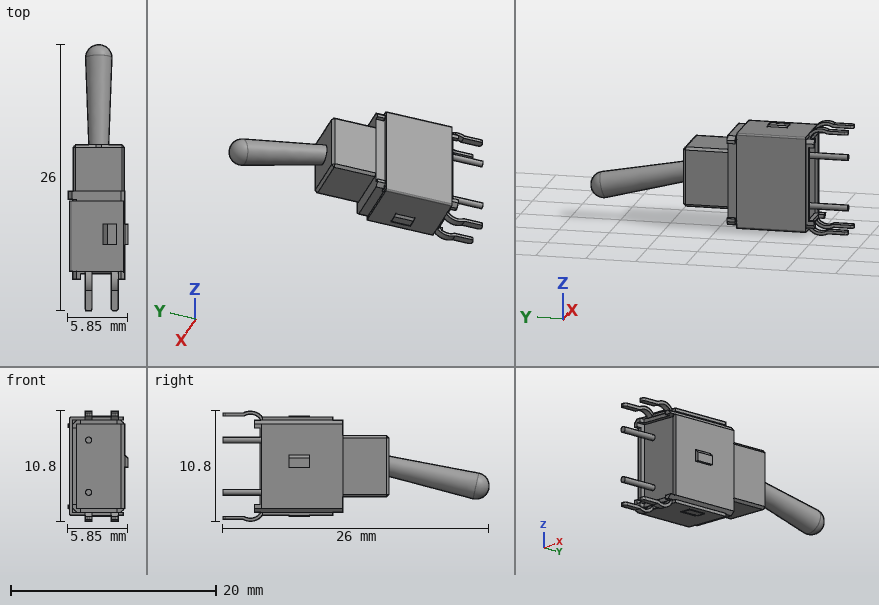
import cadquery as cq
import math


housing_width = 5.1
housing_height = 8.99
housing_front = 8.08
housing_chamfer = 0.4
wall = 0.4
recess_depth = 0.47
side_rim_setback = 0.13
foot_size = 0.78
foot_length = 0.55

bushing_width = 5.0
bushing_height = 6.0
bushing_front = 12.6
bushing_chamfer = 0.25
notch_width = 0.55

hook_reach = 0.45
hook_height = 0.7
hook_length = 0.8

catch_ramp_height = 0.4
catch_ramp_run = 0.42
catch_flat = 0.88
catch_length = 2.0
catch_center_y = 3.85
catch_start_x = 0.42
side_catch_height = 0.3
side_catch_run = 0.3
side_catch_top_z = 1.1

sheet = 0.3
bracket_rear = 0.23
bracket_front = 7.12
bracket_end_gap = 0.15
bracket_fold_radius = 0.15
leg_width = 0.7
leg_tip_radius = 0.25
leg_tip_y = -3.6
leg_crest_y = -0.93
leg_crest_z = 5.38
leg_bend_radius = 1.48
leg_drop = 0.18
leg_web = 0.08

pin_diameter = 0.6
pin_pitch = 5.1
leg_pitch = pin_pitch / 2
pin_x = -0.99
pin_socket_depth = 0.78

lever_tilt = 12.8
lever_tip_radius = 1.3
lever_neck_radius = 0.99
lever_tip_y = 22.35
lever_root_depth = 1.3

half_width = housing_width / 2
half_height = housing_height / 2
recess_width = housing_width - 2 * wall
recess_height = housing_height - 2 * wall
pin_front = recess_depth + pin_socket_depth
catch_y_range = (catch_center_y - catch_length / 2, catch_center_y + catch_length / 2)
leg_positions = [pin_x, pin_x + leg_pitch]
pin_heights = [-pin_pitch / 2, pin_pitch / 2]


def block(x_range, y_range, z_range):
    """Box between the given limits along each axis."""
    size = [high - low for low, high in (x_range, y_range, z_range)]
    return cq.Workplane("XY").box(*size, centered=False).translate(
        (x_range[0], y_range[0], z_range[0])
    )


def prism_along_y(points, y_start, y_end):
    """Polygon of (x, z) points extruded from y_start to y_end."""
    outline = cq.Workplane("XZ", origin=(0, y_start, 0)).polyline(points).close()
    return outline.extrude(y_start - y_end)


def mirrored_in_z(body):
    return body.union(body.mirror("XY"))


def catch_on_top():
    """Snap catch on the +Z side, ramped toward -X."""
    ramp_end = catch_start_x + catch_ramp_run
    top = half_height + catch_ramp_height
    points = [
        (catch_start_x, half_height),
        (ramp_end, top),
        (ramp_end + catch_flat, top),
        (ramp_end + catch_flat, half_height),
    ]
    return prism_along_y(points, *catch_y_range)


def catch_on_side():
    """Snap catch on the +X side, ramped toward +Z."""
    ramp_end = side_catch_top_z - side_catch_run
    outer = half_width + side_catch_height
    points = [
        (half_width, side_catch_top_z),
        (outer, ramp_end),
        (outer, ramp_end - catch_flat),
        (half_width, ramp_end - catch_flat),
    ]
    return prism_along_y(points, *catch_y_range)


def front_hook():
    """Chamfered hook at the upper front corner of the -X side."""
    outer = -half_width - hook_reach
    inner = -half_width + housing_chamfer
    points = [
        (inner, half_height),
        (outer + housing_chamfer, half_height),
        (outer, half_height - housing_chamfer),
        (outer, half_height - hook_height),
        (inner, half_height - hook_height),
    ]
    return prism_along_y(points, housing_front - hook_length, housing_front)


def bushing_body():
    body = block(
        (-bushing_width / 2, bushing_width / 2),
        (housing_front, bushing_front),
        (-bushing_height / 2, bushing_height / 2),
    )
    body = body.edges("|Y or >Y").chamfer(bushing_chamfer)
    notch = block(
        (-notch_width / 2, notch_width / 2),
        (bushing_front - bushing_chamfer, bushing_front),
        (bushing_height / 2 - bushing_chamfer, bushing_height / 2),
    )
    return body.cut(notch)


def lever_body():
    """Tapered lever with a ball tip, tilted about the centre of the bushing face."""
    tilt = math.radians(lever_tilt)
    ball_center = (lever_tip_y - lever_tip_radius - bushing_front) / math.cos(tilt)
    taper = (lever_tip_radius - lever_neck_radius) / ball_center
    root = -lever_root_depth
    root_radius = lever_neck_radius + taper * root
    profile = (
        cq.Workplane("XY")
        .moveTo(0, root)
        .lineTo(root_radius, root)
        .lineTo(lever_tip_radius, ball_center)
        .radiusArc((0, ball_center + lever_tip_radius), -lever_tip_radius)
        .close()
    )
    lever = profile.revolve(360, (0, 0, 0), (0, 1, 0))
    return lever.rotate((0, 0, 0), (1, 0, 0), -lever_tilt).translate((0, bushing_front, 0))


def make_housing():
    body = block(
        (-half_width, half_width), (-foot_length, housing_front), (-half_height, half_height)
    )
    body = body.edges("|Y").chamfer(housing_chamfer)
    foot_gap_x = half_width - foot_size
    foot_gap_z = half_height - foot_size
    body = body.cut(
        block((-foot_gap_x, foot_gap_x), (-foot_length, 0), (-half_height, half_height))
    )
    body = body.cut(block((-half_width, half_width), (-foot_length, 0), (-foot_gap_z, foot_gap_z)))
    body = body.cut(
        block(
            (-recess_width / 2, recess_width / 2),
            (-foot_length, recess_depth),
            (-recess_height / 2, recess_height / 2),
        )
    )
    body = body.cut(
        block(
            (recess_width / 2, half_width),
            (-foot_length, side_rim_setback),
            (-recess_height / 2, recess_height / 2),
        )
    )
    body = body.union(bushing_body()).union(lever_body())
    body = body.union(mirrored_in_z(front_hook()))
    body = body.union(mirrored_in_z(catch_on_top()))
    body = body.union(catch_on_side())
    for height in pin_heights:
        body = body.cut(make_pin(height))
    return body


def leg_strip():
    """Upper strip of sheet bent out of the bracket, as wide as the two legs and the gap between them."""
    center_z = leg_crest_z - leg_bend_radius
    inner_radius = leg_bend_radius - sheet
    outer_z = half_height + sheet
    straight_top = leg_crest_z - leg_drop
    straight_bottom = straight_top - sheet

    def bend_offset(radius, z):
        return math.sqrt(radius**2 - (z - center_z) ** 2)

    outer_start_y = leg_crest_y + bend_offset(leg_bend_radius, outer_z)
    outer_end_y = leg_crest_y - bend_offset(leg_bend_radius, straight_top)
    inner_start_y = leg_crest_y + bend_offset(inner_radius, half_height)
    inner_end_y = leg_crest_y - bend_offset(inner_radius, straight_bottom)
    root_y = bracket_rear + sheet

    left = leg_positions[0] - leg_width / 2
    right = leg_positions[-1] + leg_width / 2
    return (
        cq.Workplane("YZ", origin=(left, 0, 0))
        .moveTo(root_y, outer_z)
        .lineTo(outer_start_y, outer_z)
        .threePointArc((leg_crest_y, leg_crest_z), (outer_end_y, straight_top))
        .lineTo(leg_tip_y, straight_top)
        .lineTo(leg_tip_y, straight_bottom)
        .lineTo(inner_end_y, straight_bottom)
        .threePointArc((leg_crest_y, leg_crest_z - sheet), (inner_start_y, half_height))
        .lineTo(root_y, half_height)
        .close()
        .extrude(right - left)
    )


def leg_pair():
    """Two legs with rounded tips, joined by a narrow web at the bracket."""
    gap = block(
        (leg_positions[0] + leg_width / 2, leg_positions[1] - leg_width / 2),
        (leg_tip_y, bracket_rear - leg_web),
        (0, leg_crest_z),
    )
    return leg_strip().cut(gap).faces("<Y").edges("|Z").fillet(leg_tip_radius)


def make_bracket():
    outer_x = half_width + sheet
    outer_z = half_height + sheet
    y_range = (bracket_rear, bracket_front)
    body = block((-outer_x, half_width - bracket_end_gap), y_range, (-outer_z, outer_z))
    body = body.edges("|Y and <X").fillet(bracket_fold_radius)
    body = body.cut(block((-half_width, half_width), y_range, (-half_height, half_height)))
    window_end = catch_start_x + catch_ramp_run + catch_flat
    windows = block(
        (catch_start_x, window_end),
        catch_y_range,
        (-outer_z, outer_z),
    )
    return body.cut(windows).union(mirrored_in_z(leg_pair()))


def make_pin(height):
    """Round pin seated in the recess floor, ending level with the leg tips."""
    return (
        cq.Workplane("XZ", origin=(pin_x, pin_front, height))
        .circle(pin_diameter / 2)
        .extrude(pin_front - leg_tip_y)
    )


housing = make_housing()
bracket = make_bracket()
pins = [make_pin(height) for height in pin_heights]

result = cq.Compound.makeCompound([housing.val(), bracket.val(), *[pin.val() for pin in pins]])